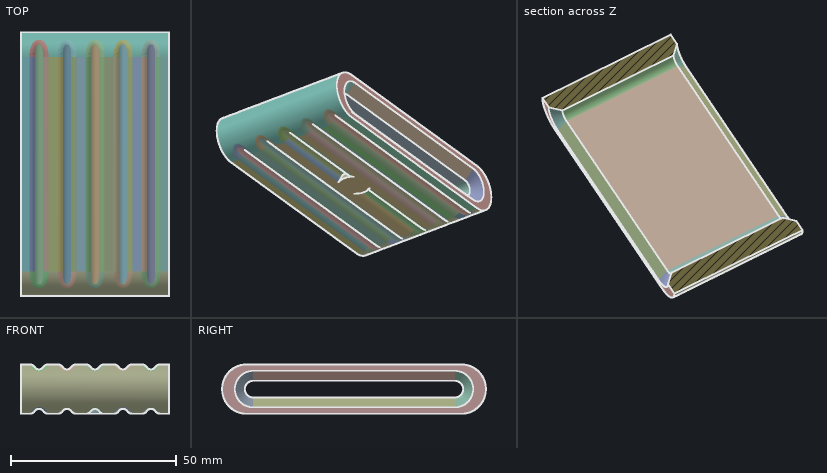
import cadquery as cq

width = 45.0
length = 80.0
height = 15.0

slot_height = 5.0
slot_length = 66.1
flare = 3.0

pad_diameter = 10.0
pad_depth = 2.0

groove_count = 5
groove_pitch = 8.5
groove_radius = 1.5
groove_rim_radius = 2.0
rim_search_margin = 0.2


def obround_prism(total_length, total_height, depth, start_x):
    """Prism along +X whose section has semicircular ends in Y."""
    return (
        cq.Workplane("YZ", origin=(start_x, 0, 0))
        .slot2D(total_length, total_height)
        .extrude(depth)
    )


def flared_slot():
    """Through slot with a 45-degree flare at each mouth."""
    passage = obround_prism(slot_length, slot_height, width, -width / 2)
    left_mouth = (
        cq.Workplane("YZ", origin=(-width / 2, 0, 0))
        .slot2D(slot_length + 2 * flare, slot_height + 2 * flare)
        .extrude(flare, taper=45)
    )
    right_mouth = left_mouth.mirror("YZ")
    return passage.union(left_mouth).union(right_mouth)


def groove_cutter(x, z):
    """Round bar along Y, centred on a flat face of the body."""
    return (
        cq.Workplane("XZ", origin=(x, 0, z))
        .circle(groove_radius)
        .extrude(length / 2, both=True)
    )


def groove_rims(body, x, z):
    """Edges where one groove meets the outside of the body."""
    reach = groove_radius + rim_search_margin
    box = cq.selectors.BoxSelector(
        (x - reach, -length, z - reach), (x + reach, length, z + reach), boundingbox=True
    )
    return body.edges(box)


body = obround_prism(length, height, width, -width / 2)
for index in range(groove_count):
    groove_x = (index - (groove_count - 1) / 2) * groove_pitch
    for face_z in (-height / 2, height / 2):
        body = body.cut(groove_cutter(groove_x, face_z))
        body = groove_rims(body, groove_x, face_z).fillet(groove_rim_radius)


pad = cq.Workplane("XY", origin=(0, 0, -height / 2)).circle(pad_diameter / 2).extrude(pad_depth)

result = body.union(pad).cut(flared_slot())